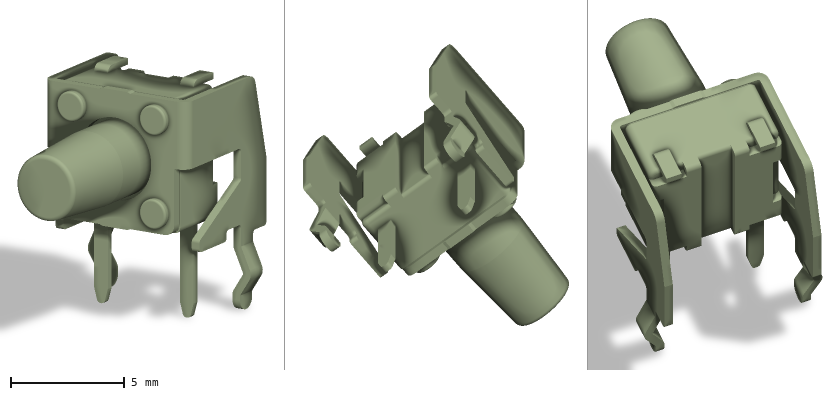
import cadquery as cq
import math


sheet = 0.4
bend_radius = 0.5
cover_width = 7.5
case_size = 6.2
half_case = case_size / 2
plate_corner_radius = 0.5
button_hole_diameter = 3.8
bump_base_width = 1.6
bump_top_width = 1.3
bump_height = 0.06

wall_back = 6.6
wall_slope_top_y = 5.6
wall_slope_end_z = -0.9
wall_bottom_z = -4.0
wall_top_round = 0.5
wall_round = 0.17
foot_recess_z = -3.5
foot_recess_front_y = 3.3
foot_front_y = 1.05
foot_tip_z = -3.47
brace_angle = 30.0

leg_width = 1.0
leg_center_y = 5.0
leg_bend_top_z = -4.6
leg_apex_z = -5.75
leg_apex_shift = 0.515
leg_apex_round = 0.5
leg_bend_inner_radius = 0.05
leg_bend_bottom_z = -6.65
leg_end_shift = -0.05
leads_end_z = -7.5

case_front_y = 0.5
case_back_y = 3.33
case_corner_radius = 0.3
neck_inset = 0.05
case_edge_radius = 0.18
pad_edge_radius = 0.22
pad_back_y = 3.75
pad_slot_width = 1.6
pad_recess_depth = 0.5
side_recess_length = 3.0
tab_edge_x = 1.5

button_diameter = 3.5
button_tip_diameter = 3.0
button_straight_length = 2.1
button_length = 5.8
button_edge_radius = 0.2

rivet_diameter = 1.36
rivet_height = 0.33
rivet_edge_radius = 0.1
rivet_pitch = 4.3

terminal_width = 0.72
terminal_thickness = 0.31
terminal_pitch = 4.48
terminal_front_y = 2.4
terminal_back_y = 4.05
terminal_top_z = 3.4
terminal_taper_z = -6.8
terminal_tip_width = 0.34
terminal_tip_round = 0.2
terminal_bend_radius = 0.35


def box(x_range, y_range, z_range):
    """Box spanning the given (low, high) limits."""
    lows, highs = zip(x_range, y_range, z_range)
    sizes = [high - low for low, high in zip(lows, highs)]
    return cq.Workplane("XY").box(*sizes, centered=False).translate(lows)


def facing_back(y):
    """Sketch plane at depth y with X right, Z up and extrusion towards -Y."""
    return cq.Workplane("XZ", origin=(0, y, 0))


def mirrored(solid):
    """The solid together with its mirror image across X = 0."""
    return solid.union(solid.mirror("YZ"))


def square_block(size, front_y, back_y, corner_radius):
    block = facing_back(back_y).rect(size, size).extrude(back_y - front_y)
    return block.edges("|Y").fillet(corner_radius)


def rounded_block(front_y, back_y, edge_radius):
    """Case-sized block with a rounded edge around its back face."""
    block = square_block(case_size, front_y, back_y, case_corner_radius)
    return block.faces(">Y").edges().fillet(edge_radius)


def make_plate():
    """Front plate: full width above the button axis, case width below it."""
    upper = box((-half_case, half_case), (0, sheet), (0, half_case))
    lower = box((-half_case, half_case), (0, sheet), (-half_case, 0))
    lower = lower.edges("|Y and <Z").fillet(plate_corner_radius)
    bumps = (
        facing_back(sheet)
        .polyline([
            (-bump_base_width / 2, half_case),
            (-bump_top_width / 2, half_case + bump_height),
            (bump_top_width / 2, half_case + bump_height),
            (bump_base_width / 2, half_case),
        ])
        .close()
        .extrude(sheet)
    )
    plate = upper.union(lower).union(bumps).union(bumps.mirror("XY"))
    hole = facing_back(sheet).circle(button_hole_diameter / 2).extrude(sheet)
    return plate.cut(hole)


def make_bend():
    """Upper strip joining the plate to the right-hand wall around the bend."""
    half_width = cover_width / 2
    inner_radius = bend_radius - sheet
    bend_x = half_width - bend_radius
    mid = math.sqrt(0.5)
    return (
        cq.Workplane("XY")
        .moveTo(half_case - sheet, 0)
        .lineTo(bend_x, 0)
        .threePointArc((bend_x + bend_radius * mid, bend_radius * (1 - mid)), (half_width, bend_radius))
        .lineTo(half_width - sheet, bend_radius)
        .threePointArc((bend_x + inner_radius * mid, bend_radius - inner_radius * mid), (bend_x, sheet))
        .lineTo(half_case - sheet, sheet)
        .close()
        .extrude(half_case)
    )


def round_wall_corners(wall, corners, radius):
    """Fillet the edges along X that pass through the given (Y, Z) corners."""
    for y, z in corners:
        nearest = cq.selectors.NearestToPointSelector((cover_width / 2 - sheet / 2, y, z))
        wall = wall.edges("|X").edges(nearest).fillet(radius)
    return wall


def make_wall():
    """Right-hand wall outline with its opening, slanted brace and foot."""
    leg_front = leg_center_y - leg_width / 2
    leg_back = leg_center_y + leg_width / 2
    brace_drop = (leg_front - foot_front_y) * math.tan(math.radians(brace_angle))
    opening_low_z = foot_tip_z + brace_drop
    outline = [
        (bend_radius, 0),
        (bend_radius, half_case),
        (wall_slope_top_y, half_case),
        (wall_back, wall_slope_end_z),
        (wall_back, wall_bottom_z),
        (leg_back, wall_bottom_z),
        (leg_back, leg_bend_top_z),
        (leg_front, leg_bend_top_z),
        (leg_front, foot_recess_z),
        (foot_recess_front_y, foot_recess_z),
        (foot_recess_front_y, wall_bottom_z),
        (foot_front_y, wall_bottom_z),
        (foot_front_y, foot_tip_z),
        (leg_front, opening_low_z),
        (leg_front, 0),
    ]
    inner_x = cover_width / 2 - sheet
    wall = cq.Workplane("YZ", origin=(inner_x, 0, 0)).polyline(outline).close().extrude(sheet)

    top_corner = (wall_slope_top_y, half_case)
    small_corners = outline[4:6] + outline[8:]
    wall = round_wall_corners(wall, [top_corner], wall_top_round)
    return round_wall_corners(wall, small_corners, wall_round)


def offset_path(path, distance):
    """Path moved sideways to its left, with mitred corners."""
    normals = []
    for (x0, z0), (x1, z1) in zip(path, path[1:]):
        length = math.hypot(x1 - x0, z1 - z0)
        normals.append(((z0 - z1) / length, (x1 - x0) / length))
    moved = []
    for (x, z), before, after in zip(path, normals[:1] + normals, normals + normals[-1:]):
        scale = distance / (1 + before[0] * after[0] + before[1] * after[1])
        moved.append((x + scale * (before[0] + after[0]), z + scale * (before[1] + after[1])))
    return moved


def round_leg_bend(leg, corner, radius):
    """Fillet the edge along Y that passes through the given (X, Z) corner."""
    x, z = corner
    nearest = cq.selectors.NearestToPointSelector((x, leg_center_y, z))
    return leg.edges("|Y").edges(nearest).fillet(radius)


def make_leg():
    """Kinked right-hand leg of constant thickness with a round end."""
    inner_x = cover_width / 2 - sheet
    inner_side = [
        (inner_x, wall_bottom_z),
        (inner_x, leg_bend_top_z),
        (inner_x + leg_apex_shift, leg_apex_z),
        (inner_x + leg_end_shift, leg_bend_bottom_z),
        (inner_x + leg_end_shift, leads_end_z),
    ]
    outer_side = offset_path(inner_side, sheet)
    leg = (
        facing_back(leg_center_y + leg_width / 2)
        .polyline(inner_side + outer_side[::-1])
        .close()
        .extrude(leg_width)
    )
    leg = leg.edges("|Y and >X").fillet(leg_apex_round)
    for bend in (1, 3):
        leg = round_leg_bend(leg, inner_side[bend], leg_bend_inner_radius + sheet)
        leg = round_leg_bend(leg, outer_side[bend], leg_bend_inner_radius)

    round_radius = leg_width / 2
    round_z = leads_end_z + round_radius
    side_profile = (
        cq.Workplane("YZ")
        .moveTo(leg_center_y - round_radius, wall_bottom_z)
        .lineTo(leg_center_y - round_radius, round_z)
        .threePointArc((leg_center_y, leads_end_z), (leg_center_y + round_radius, round_z))
        .lineTo(leg_center_y + round_radius, wall_bottom_z)
        .close()
        .extrude(cover_width)
    )
    return leg.intersect(side_profile)


def make_case():
    """Case on a slightly smaller neck, with recessed pads on its back."""
    neck_size = case_size - 2 * neck_inset
    neck = square_block(neck_size, sheet, case_front_y, case_corner_radius)
    case = rounded_block(case_front_y, case_back_y, case_edge_radius)

    pad_depth = (case_back_y - 2 * case_edge_radius, pad_back_y)
    pads = rounded_block(*pad_depth, pad_edge_radius)
    recess = (half_case - pad_recess_depth, half_case)
    side_span = (-side_recess_length / 2, side_recess_length / 2)
    side_recess = box(recess, pad_depth, side_span)
    top_recess = box((tab_edge_x, half_case), pad_depth, recess)
    recesses = mirrored(side_recess.union(top_recess).union(top_recess.mirror("XY")))
    pads = pads.cut(recesses)

    slot_span = (-pad_slot_width / 2, pad_slot_width / 2)
    slot = box(slot_span, pad_depth, (-half_case, half_case))
    return neck.union(case).union(pads.cut(slot))


def make_button():
    radius = button_diameter / 2
    tip_radius = button_tip_diameter / 2
    button = (
        cq.Workplane("XY")
        .polyline([
            (0, sheet),
            (radius, sheet),
            (radius, -button_straight_length),
            (tip_radius, -button_length),
            (0, -button_length),
        ])
        .close()
        .revolve(360, (0, 0, 0), (0, 1, 0))
    )
    return button.faces("<Y").edges().fillet(button_edge_radius)


def make_rivets():
    heads = (
        facing_back(0)
        .rect(rivet_pitch, rivet_pitch, forConstruction=True)
        .vertices()
        .circle(rivet_diameter / 2)
        .extrude(rivet_height)
    )
    return heads.faces("<Y").edges().fillet(rivet_edge_radius)


def make_terminal():
    """Pin through the case, bent backwards over its top and pointed at its lower end."""
    half_width = terminal_width / 2
    half_tip = terminal_tip_width / 2
    pin_back_y = terminal_front_y + terminal_thickness
    pin = (
        facing_back(pin_back_y)
        .polyline([
            (-half_width, terminal_top_z),
            (-half_width, terminal_taper_z),
            (-half_tip, leads_end_z),
            (half_tip, leads_end_z),
            (half_width, terminal_taper_z),
            (half_width, terminal_top_z),
        ])
        .close()
        .extrude(terminal_thickness)
    )
    pin = pin.edges("|Y and <Z").fillet(terminal_tip_round)
    overhang = box(
        (-half_width, half_width),
        (terminal_front_y, terminal_back_y),
        (half_case, terminal_top_z),
    )
    terminal = pin.union(overhang)
    bend_edge = cq.selectors.NearestToPointSelector((0, terminal_front_y, terminal_top_z))
    terminal = terminal.edges("|X").edges(bend_edge).fillet(terminal_bend_radius)
    return terminal.translate((terminal_pitch / 2, 0, 0))


right_half_parts = make_bend().union(make_wall()).union(make_leg()).union(make_terminal())
result = (
    make_case()
    .union(make_plate())
    .union(mirrored(right_half_parts))
    .union(make_button())
    .union(make_rivets())
)